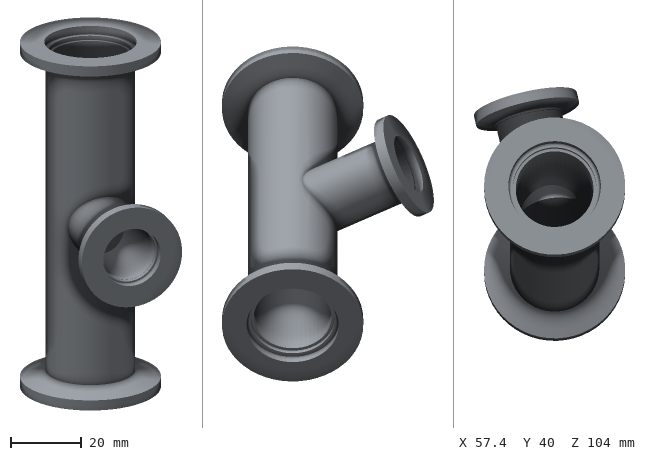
import cadquery as cq
import math

total_height = 104.0
branch_reach = 37.4

run_outer_d = 25.4
run_bore_d = 22.0
run_flange_d = 40.0
run_hub_d = 25.6
run_recess_d = 26.2
run_opening_d = 23.7

branch_outer_d = 19.0
branch_bore_d = 16.0
branch_flange_d = 30.0
branch_hub_d = 20.0
branch_recess_d = 17.2
branch_opening_d = 16.1
branch_socket_d = 19.3

flange_length = 5.0
recess_depth = 2.5
lip_thickness = 1.2
clamp_angle = 15.0
cone_slope = math.tan(math.radians(clamp_angle))
rim_thickness = flange_length - (run_flange_d - run_hub_d) / 2 * cone_slope
tube_inset = recess_depth + lip_thickness

run_length = total_height - 2 * tube_inset
branch_end = branch_reach - tube_inset


def make_flange(outer_d, hub_d, recess_d, opening_d, socket_d):
    """Flange with its outer face at z = 0, its hub toward -Z and a socket for the tube."""
    base = cq.Workplane("XY").workplane(offset=-flange_length)
    collar = base.circle(hub_d / 2).extrude(flange_length)
    cone_end = -rim_thickness - (outer_d - hub_d) / 2 * cone_slope
    head = (
        cq.Workplane("XZ")
        .moveTo(0, 0)
        .lineTo(outer_d / 2, 0)
        .lineTo(outer_d / 2, -rim_thickness)
        .lineTo(hub_d / 2, cone_end)
        .lineTo(0, cone_end)
        .close()
        .revolve(360, (0, 0, 0), (0, 1, 0))
    )
    recess = cq.Workplane("XY").circle(recess_d / 2).extrude(-recess_depth)
    opening = base.circle(opening_d / 2).extrude(flange_length)
    socket = base.circle(socket_d / 2).extrude(flange_length - tube_inset)
    return head.union(collar).cut(recess).cut(opening).cut(socket)


def make_branch_rod(diameter):
    """Solid rod from the run axis to the end of the branch tube."""
    return cq.Workplane("YZ").circle(diameter / 2).extrude(branch_end)


def make_run_tube():
    """Run tube with a side opening that matches the branch bore."""
    tube = (
        cq.Workplane("XY")
        .circle(run_outer_d / 2)
        .circle(run_bore_d / 2)
        .extrude(run_length / 2, both=True)
    )
    return tube.cut(make_branch_rod(branch_bore_d))


def make_branch_tube():
    """Branch tube, saddle-cut to sit on the outside of the run tube."""
    saddle = cq.Workplane("XY").circle(run_outer_d / 2).extrude(branch_outer_d, both=True)
    return make_branch_rod(branch_outer_d).cut(make_branch_rod(branch_bore_d)).cut(saddle)


def make_run_flanges():
    """Two equal flanges, one on each end of the run tube."""
    flanges = []
    for turn in (0, 180):
        flange = make_flange(run_flange_d, run_hub_d, run_recess_d, run_opening_d, run_outer_d)
        flange = flange.translate((0, 0, total_height / 2))
        flanges.append(flange.rotate((0, 0, 0), (1, 0, 0), turn).val())
    return flanges


def make_branch_flange():
    """Flange on the end of the branch tube, facing +X."""
    flange = make_flange(
        branch_flange_d, branch_hub_d, branch_recess_d, branch_opening_d, branch_socket_d
    )
    return flange.rotate((0, 0, 0), (0, 1, 0), 90).translate((branch_reach, 0, 0))


run_tube = make_run_tube()
branch_tube = make_branch_tube()
run_flanges = make_run_flanges()
branch_flange = make_branch_flange()

result = cq.Compound.makeCompound(
    [run_tube.val(), branch_tube.val(), *run_flanges, branch_flange.val()]
)